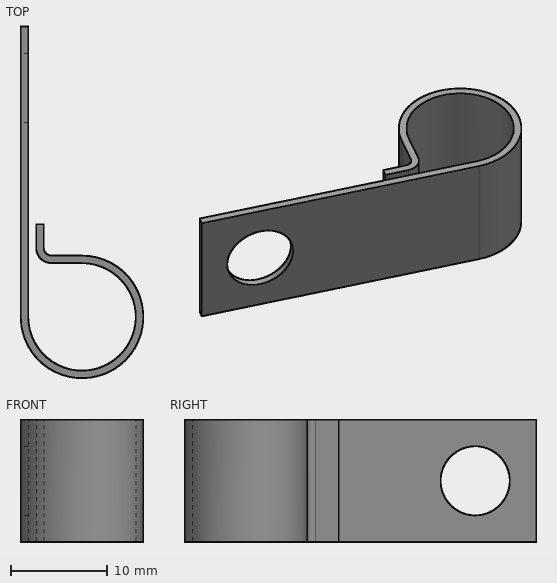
import cadquery as cq
import math

length = 36.5
width = 12.7
thickness = 0.8
loop_diameter = 12.75
tab_gap = 0.8
bend_inner_radius = 0.8
tab_reach = 9.65
hole_diameter = 7.15
hole_end_distance = 6.35

outer_radius = loop_diameter / 2
inner_radius = outer_radius - thickness
bend_outer_radius = bend_inner_radius + thickness
leg_end = length - outer_radius
tab_left = -inner_radius + tab_gap
tab_right = tab_left + thickness
bend_x = tab_left + bend_outer_radius
bend_y = inner_radius + bend_outer_radius
diagonal = math.sqrt(0.5)


def make_strip():
    """Bent sheet: long leg, three-quarter loop, short flat and tab."""
    return (
        cq.Workplane("XY")
        .workplane(offset=-width / 2)
        .moveTo(-outer_radius, leg_end)
        .lineTo(-outer_radius, 0)
        .threePointArc((outer_radius * diagonal, -outer_radius * diagonal), (0, outer_radius))
        .lineTo(bend_x, outer_radius)
        .threePointArc(
            (bend_x - bend_inner_radius * diagonal, bend_y - bend_inner_radius * diagonal),
            (tab_right, bend_y),
        )
        .lineTo(tab_right, tab_reach)
        .lineTo(tab_left, tab_reach)
        .lineTo(tab_left, bend_y)
        .threePointArc(
            (bend_x - bend_outer_radius * diagonal, bend_y - bend_outer_radius * diagonal),
            (bend_x, inner_radius),
        )
        .lineTo(0, inner_radius)
        .threePointArc((inner_radius * diagonal, -inner_radius * diagonal), (-inner_radius, 0))
        .lineTo(-inner_radius, leg_end)
        .close()
        .extrude(width)
    )


def make_hole_cutter():
    """Mounting hole through the long leg only."""
    return (
        cq.Workplane("YZ")
        .workplane(offset=-outer_radius)
        .center(leg_end - hole_end_distance, 0)
        .circle(hole_diameter / 2)
        .extrude(thickness)
    )


result = make_strip().cut(make_hole_cutter())